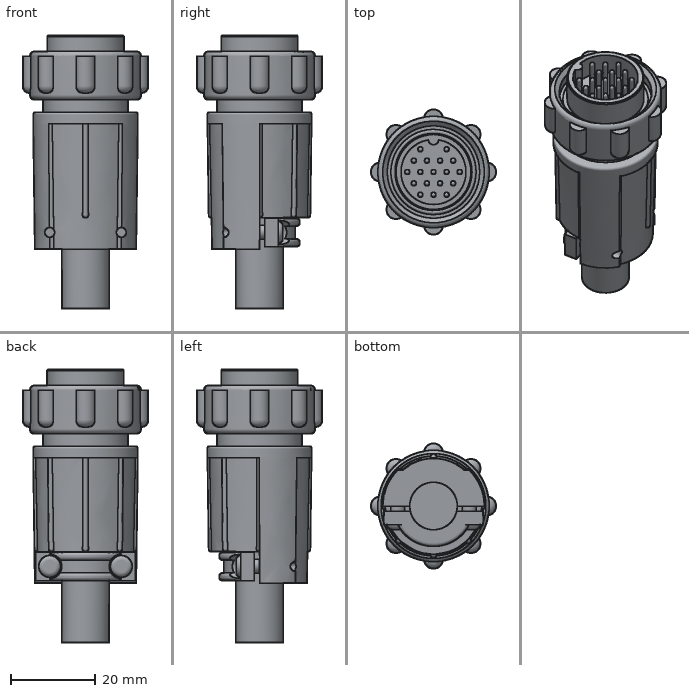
import cadquery as cq
import math

OUTER_WIDTH = 29.8

TOTAL_HEIGHT = 65.0
BODY_BOTTOM = 14.15
CORE_BOTTOM = 21.65
COLLAR_BOTTOM = 43.9
COLLAR_TOP = 46.7
NUT_BOTTOM = 49.65
NUT_TOP = 61.2

OVERLAP = 0.65

CABLE_RADIUS = 5.65
CORE_TOP_RADIUS = 11.9
CORE_LOW_RADIUS = 11.3
SHELL_TOP_RADIUS = 12.5
SHELL_LOW_RADIUS = 12.1
COLLAR_FILLET = 0.6
NECK_RADIUS = 10.15

FLANK_OUTER_CORNER = 8.6
FLANK_INNER_X = 7.5
FLANK_INNER_Y = 8.45

BODY_RIB_RADIUS = 0.7
BODY_RIB_END_FILLET = 0.6
BODY_RIB_INSET = 0.05
BODY_RIB_ANGLES = (0, 45, 90, 135, 180, 270)

NUT_RADIUS = 13.25
NUT_EDGE_FILLET = 1.2
NUT_BORE_TOP_RADIUS = NUT_RADIUS - NUT_EDGE_FILLET
NUT_BORE_FLOOR_RADIUS = 11.0
NUT_BORE_CONE_DEPTH = 1.05
NUT_BORE_FLOOR = 57.8
GRIP_COUNT = 8
GRIP_REACH = OUTER_WIDTH / 2
GRIP_RADIUS = 2.3
GRIP_END_FILLET = 1.55
GRIP_BOTTOM = 51.25

PLUG_RADIUS = 9.15
PLUG_BORE_RADIUS = 7.7
PLUG_FLOOR = 59.25
PLUG_EDGE_CHAMFER = 0.25
BEAD_RADIUS = 0.55
KEY_RADIUS = 1.25
PIN_RADIUS = 0.6
PIN_TOP = 64.65
PIN_PITCH = 3.1
PIN_ROW_SPACING = PIN_PITCH * math.sqrt(3) / 2
PIN_COLUMNS_BY_ROW = {
    2: (-1, 1),
    1: (-1.5, -0.5, 0.5, 1.5),
    0: (-2, -1, 0, 1, 2),
    -1: (-1.5, -0.5, 0.5, 1.5),
    -2: (-1, 0, 1),
}

CLAMP_BOTTOM = 14.75
CLAMP_TOP = 21.45
LUG_HALF_LENGTH = 11.8
LUG_NEAR_Y = 1.25
LUG_FAR_Y = 4.4
ARCH_RADIUS = 8.6
ARCH_RIM_RADIUS = 9.6
ARCH_RIM_WIDTH = 1.8
ARCH_RIM_FILLET = 0.8
SCREW_X = 8.5
SCREW_Z = 18.1
SCREW_SHANK_RADIUS = 1.7
SCREW_HEAD_RADIUS = 2.6
SCREW_HEAD_HEIGHT = 1.2
SCREW_HEAD_FILLET = 1.1
SCREW_CLEARANCE_RADIUS = 2.85
SCREW_HOLE_RADIUS = 1.2
SCREW_HOLE_END_Y = -5.85


def disc(radius, bottom, top):
    return cq.Workplane("XY").workplane(offset=bottom).circle(radius).extrude(top - bottom)


def rod_along_y(x, radius, start_y, end_y):
    """Rod at the screw height, parallel to Y."""
    plane = cq.Plane(origin=(x, start_y, SCREW_Z), xDir=(1, 0, 0), normal=(0, 1, 0))
    return cq.Workplane(plane).circle(radius).extrude(end_y - start_y)


def tapered(top_radius, low_radius, bottom):
    """Cone from the collar down to the given height, on the slope that ends at BODY_BOTTOM."""
    slope = (top_radius - low_radius) / (COLLAR_BOTTOM - BODY_BOTTOM)
    bottom_radius = low_radius + slope * (bottom - BODY_BOTTOM)
    profile = [(0, bottom), (bottom_radius, bottom), (top_radius, COLLAR_BOTTOM), (0, COLLAR_BOTTOM)]
    return cq.Workplane("XZ").polyline(profile).close().revolve(360, (0, 0), (0, 1))


def make_body():
    core = tapered(CORE_TOP_RADIUS, CORE_LOW_RADIUS, CORE_BOTTOM)
    lower = tapered(CORE_TOP_RADIUS, CORE_LOW_RADIUS, BODY_BOTTOM)
    front_half = cq.Workplane("XY").box(
        3 * SHELL_TOP_RADIUS, 2 * SHELL_TOP_RADIUS, TOTAL_HEIGHT, centered=(True, False, False)
    ).translate((0, -2 * SHELL_TOP_RADIUS, 0))
    body = core.union(lower.intersect(front_half))

    shell = tapered(SHELL_TOP_RADIUS, SHELL_LOW_RADIUS, BODY_BOTTOM)
    for side in (-1, 1):
        body = body.union(shell.intersect(make_flank_wedge(side)))
    return body


def flank_outline(side, inner_growth, outer_growth):
    """Wedge from the X axis to the slanted flank edge, whose two corners grow with the tapers."""
    inner_x = FLANK_INNER_X * inner_growth
    inner_y = FLANK_INNER_Y * inner_growth
    outer = FLANK_OUTER_CORNER * outer_growth
    edge_slope = (outer - inner_y) / (outer - inner_x)
    reach = SHELL_TOP_RADIUS + OVERLAP
    reach_y = inner_y + edge_slope * (reach - inner_x)
    return [(0, 0), (side * inner_x, -inner_y), (side * reach, -reach_y), (side * reach, 0)]


def make_flank_wedge(side):
    top_outline = flank_outline(
        side, CORE_TOP_RADIUS / CORE_LOW_RADIUS, SHELL_TOP_RADIUS / SHELL_LOW_RADIUS
    )
    return (
        cq.Workplane("XY")
        .workplane(offset=BODY_BOTTOM)
        .polyline(flank_outline(side, 1, 1))
        .close()
        .workplane(offset=COLLAR_BOTTOM - BODY_BOTTOM)
        .polyline(top_outline)
        .close()
        .loft(ruled=True)
    )


def make_body_rib(angle):
    """Round rib that follows the shell taper and has a rounded lower end."""
    slope = (SHELL_TOP_RADIUS - SHELL_LOW_RADIUS) / (COLLAR_BOTTOM - BODY_BOTTOM)
    low_radius = SHELL_LOW_RADIUS + slope * (CORE_BOTTOM - BODY_BOTTOM)
    length = COLLAR_BOTTOM - CORE_BOTTOM
    axis_radius = low_radius - BODY_RIB_INSET - BODY_RIB_RADIUS
    plane = cq.Plane(origin=(axis_radius, 0, CORE_BOTTOM), xDir=(0, 1, 0), normal=(slope, 0, 1))
    rib = cq.Workplane(plane).circle(BODY_RIB_RADIUS).extrude(length)
    rib = rib.faces("<Z").edges().fillet(BODY_RIB_END_FILLET)
    return rib.rotate((0, 0, 0), (0, 0, 1), angle)


def make_nut():
    nut = disc(NUT_RADIUS, NUT_BOTTOM, NUT_TOP).faces("<Z").edges().fillet(NUT_EDGE_FILLET)
    grip = disc(GRIP_RADIUS, GRIP_BOTTOM, NUT_TOP - NUT_EDGE_FILLET)
    grip = grip.faces("<Z").edges().fillet(GRIP_END_FILLET)
    grip = grip.translate((GRIP_REACH - GRIP_RADIUS, 0, 0))
    for index in range(GRIP_COUNT):
        nut = nut.union(grip.rotate((0, 0, 0), (0, 0, 1), index * 360 / GRIP_COUNT))

    quarter = NUT_EDGE_FILLET * math.sqrt(0.5)
    rim_base = NUT_TOP - NUT_EDGE_FILLET
    rim_cutter = (
        cq.Workplane("XZ")
        .moveTo(NUT_RADIUS, rim_base)
        .threePointArc((NUT_BORE_TOP_RADIUS + quarter, rim_base + quarter), (NUT_BORE_TOP_RADIUS, NUT_TOP))
        .lineTo(NUT_RADIUS, NUT_TOP)
        .close()
        .revolve(360, (0, 0), (0, 1))
    )
    bore_profile = [
        (0, NUT_BORE_FLOOR),
        (NUT_BORE_FLOOR_RADIUS, NUT_BORE_FLOOR),
        (NUT_BORE_FLOOR_RADIUS, NUT_TOP - NUT_BORE_CONE_DEPTH),
        (NUT_BORE_TOP_RADIUS, NUT_TOP),
        (0, NUT_TOP),
    ]
    bore = cq.Workplane("XZ").polyline(bore_profile).close().revolve(360, (0, 0), (0, 1))
    return nut.cut(rim_cutter).cut(bore)


def make_plug():
    neck = disc(NECK_RADIUS, COLLAR_TOP, NUT_BORE_FLOOR)
    bead = (
        cq.Workplane("XZ")
        .center(NECK_RADIUS - BEAD_RADIUS, NUT_BORE_FLOOR)
        .circle(BEAD_RADIUS)
        .revolve(360, (BEAD_RADIUS - NECK_RADIUS, 0), (BEAD_RADIUS - NECK_RADIUS, 1))
    )
    plug = disc(PLUG_RADIUS, COLLAR_TOP, TOTAL_HEIGHT).faces(">Z").edges().chamfer(PLUG_EDGE_CHAMFER)
    plug = plug.union(neck).union(bead)
    plug = plug.cut(disc(PLUG_BORE_RADIUS, PLUG_FLOOR, TOTAL_HEIGHT))
    key = disc(KEY_RADIUS, PLUG_FLOOR, TOTAL_HEIGHT).translate((0, PLUG_BORE_RADIUS, 0))
    plug = plug.union(key)

    dome_base = PIN_TOP - PIN_RADIUS
    pin = disc(PIN_RADIUS, PLUG_FLOOR - OVERLAP, dome_base)
    pin = pin.union(cq.Workplane("XY").sphere(PIN_RADIUS).translate((0, 0, dome_base)))
    for row, columns in PIN_COLUMNS_BY_ROW.items():
        for column in columns:
            plug = plug.union(pin.translate((column * PIN_PITCH, row * PIN_ROW_SPACING, 0)))
    return plug


def make_clamp():
    height = CLAMP_TOP - CLAMP_BOTTOM
    lugs = cq.Workplane("XY").box(
        2 * LUG_HALF_LENGTH, LUG_FAR_Y - LUG_NEAR_Y, height, centered=(True, False, False)
    ).translate((0, LUG_NEAR_Y, CLAMP_BOTTOM))
    arch = disc(ARCH_RADIUS, CLAMP_BOTTOM, CLAMP_TOP)
    for rim_bottom in (CLAMP_BOTTOM, CLAMP_TOP - ARCH_RIM_WIDTH):
        rim = disc(ARCH_RIM_RADIUS, rim_bottom, rim_bottom + ARCH_RIM_WIDTH)
        arch = arch.union(rim.edges().fillet(ARCH_RIM_FILLET))
    upper_side = cq.Workplane("XY").box(
        2 * LUG_HALF_LENGTH, ARCH_RIM_RADIUS, TOTAL_HEIGHT, centered=(True, False, False)
    ).translate((0, LUG_FAR_Y, 0))
    clamp = arch.intersect(upper_side)
    for side in (-1, 1):
        x = side * SCREW_X
        clamp = clamp.cut(rod_along_y(x, SCREW_CLEARANCE_RADIUS, LUG_FAR_Y, ARCH_RIM_RADIUS))
    clamp = clamp.union(lugs)
    for side in (-1, 1):
        x = side * SCREW_X
        head = rod_along_y(x, SCREW_HEAD_RADIUS, LUG_FAR_Y, LUG_FAR_Y + SCREW_HEAD_HEIGHT)
        clamp = clamp.union(head.faces(">Y").edges().fillet(SCREW_HEAD_FILLET))
        clamp = clamp.union(rod_along_y(x, SCREW_SHANK_RADIUS, -OVERLAP, LUG_FAR_Y))
    return clamp


result = make_body()
for rib_angle in BODY_RIB_ANGLES:
    result = result.union(make_body_rib(rib_angle))

collar = disc(SHELL_TOP_RADIUS, COLLAR_BOTTOM, COLLAR_TOP).faces(">Z").edges().fillet(COLLAR_FILLET)
result = result.union(collar)

for screw_x in (-SCREW_X, SCREW_X):
    result = result.cut(rod_along_y(screw_x, SCREW_HOLE_RADIUS, -SHELL_TOP_RADIUS, SCREW_HOLE_END_Y))

result = result.union(make_clamp())
result = result.union(disc(CABLE_RADIUS, 0, COLLAR_BOTTOM))
result = result.union(make_nut()).union(make_plug())